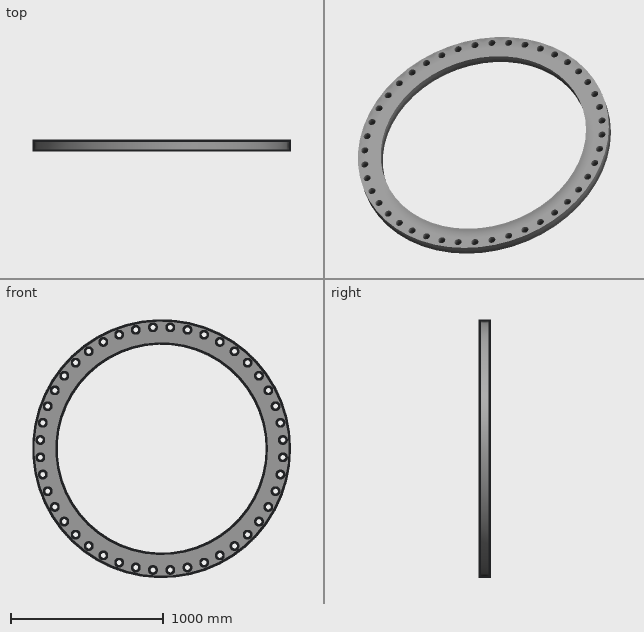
import cadquery as cq

outer_diameter = 1683.0
bore_diameter = 1376.0
thickness = 65.0

bolt_hole_count = 44
bolt_hole_diameter = 47.0
bolt_circle_diameter = 1594.0
half_pitch_angle = 360 / bolt_hole_count / 2


def make_ring():
    """Plain flat ring, centred on the origin."""
    return (
        cq.Workplane("XZ", origin=(0, thickness / 2, 0))
        .circle(outer_diameter / 2)
        .circle(bore_diameter / 2)
        .extrude(thickness)
    )


def make_bolt_holes():
    """Cylinders that cut the bolt holes right through the ring."""
    return (
        cq.Workplane("XZ")
        .polarArray(bolt_circle_diameter / 2, half_pitch_angle, 360, bolt_hole_count)
        .circle(bolt_hole_diameter / 2)
        .extrude(thickness, both=True)
    )


result = make_ring().cut(make_bolt_holes())